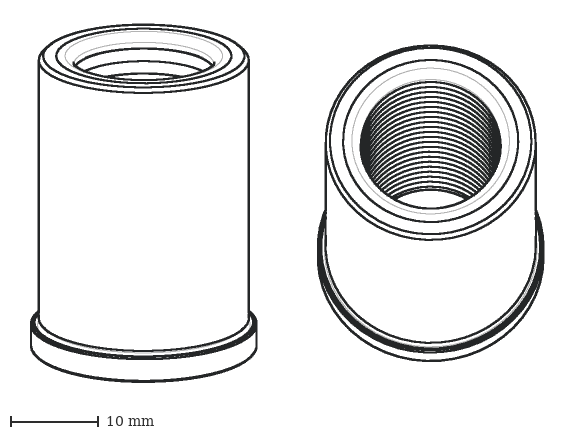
import cadquery as cq

total_height = 35.0
flange_radius = 12.9
flange_height = 3.0
flange_chamfer = 0.2

sleeve_radius = 12.0
top_chamfer = 0.5

undercut_reach = 0.5
undercut_wall_run = 0.35
undercut_end_offset = undercut_reach / 2

liner_radius = 10.0
bore_radius = 8.0
mouth_round = 1.0

groove_pitch = 3.0
groove_width = 1.5
groove_count = 11
first_groove_drop = (total_height - (groove_count - 1) * groove_pitch) / 2


def make_sleeve():
    """Flanged sleeve turned about Z, with a sloping undercut where the body meets the flange."""
    body_wall_start = (sleeve_radius, flange_height + undercut_reach)
    body_wall_end = (body_wall_start[0] - undercut_wall_run, body_wall_start[1] - undercut_wall_run)
    flange_wall_start = (sleeve_radius + undercut_reach, flange_height)
    flange_wall_end = (flange_wall_start[0] - undercut_wall_run, flange_wall_start[1] - undercut_wall_run)
    deepest_point = (
        (body_wall_end[0] + flange_wall_end[0]) / 2 - undercut_end_offset,
        (body_wall_end[1] + flange_wall_end[1]) / 2 - undercut_end_offset,
    )
    profile = (
        cq.Workplane("XZ")
        .moveTo(liner_radius, 0)
        .lineTo(flange_radius - flange_chamfer, 0)
        .lineTo(flange_radius, flange_chamfer)
        .lineTo(flange_radius, flange_height - flange_chamfer)
        .lineTo(flange_radius - flange_chamfer, flange_height)
        .lineTo(*flange_wall_start)
        .lineTo(*flange_wall_end)
        .threePointArc(deepest_point, body_wall_end)
        .lineTo(*body_wall_start)
        .lineTo(sleeve_radius, total_height - top_chamfer)
        .lineTo(sleeve_radius - top_chamfer, total_height)
        .lineTo(liner_radius, total_height)
        .close()
    )
    return profile.revolve(360, (0, 0, 0), (0, 1, 0))


def make_liner():
    """Tube turned about Z, with rounded bore mouths and evenly spaced half-round ring grooves."""
    groove_radius = groove_width / 2
    mouth_radius = bore_radius + mouth_round
    profile = (
        cq.Workplane("XZ")
        .moveTo(liner_radius, 0)
        .lineTo(liner_radius, total_height)
        .lineTo(mouth_radius, total_height)
        .radiusArc((bore_radius, total_height - mouth_round), -mouth_round)
    )
    for index in range(groove_count):
        middle_z = total_height - first_groove_drop - index * groove_pitch
        profile = profile.lineTo(bore_radius, middle_z + groove_radius).threePointArc(
            (bore_radius + groove_radius, middle_z),
            (bore_radius, middle_z - groove_radius),
        )
    profile = (
        profile.lineTo(bore_radius, mouth_round)
        .radiusArc((mouth_radius, 0), -mouth_round)
        .close()
    )
    return profile.revolve(360, (0, 0, 0), (0, 1, 0))


sleeve = make_sleeve()
liner = make_liner()
result = cq.Compound.makeCompound([sleeve.val(), liner.val()])